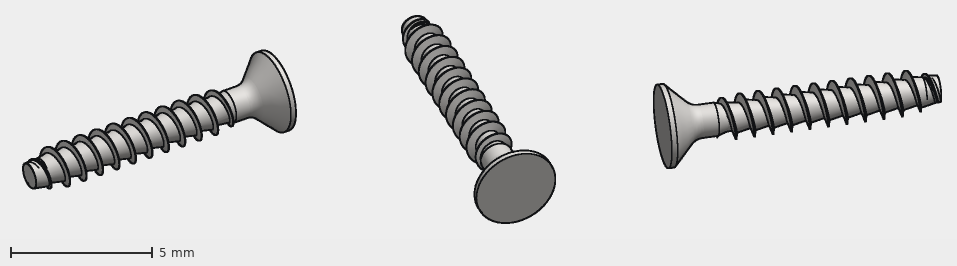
import cadquery as cq
import math


length = 10.0
head_radius = 1.5
rim_height = 0.21
cone_angle = math.radians(45)
shank_radius = 0.6
neck_radius = 0.6
thread_start = 1.92

pitch = 0.67
core_radius = 0.485
tip_radius = 0.462
tip_taper_depth = 9.4
ridge_radius = 0.58
foot_sink = 0.003
turn_gap = 0.003
collar_length = 0.35

thread_radius = 0.8
crest_width = 0.03
root_width = 0.2
crest_depth = 2.79
run_in_depth = 1.25
run_in_radius = 0.53
run_in_end = 2.55
run_out_depth = 9.0
ridge_fade_depth = 9.3
ridge_fade_crest = 0.69
fade_end = 9.97
fade_crest_rise = 0.005

samples_per_turn = 24
clearance = 0.5


def cylinder_about_axis(start_depth, end_depth, radius):
    """Cylinder about Y between two depths."""
    plane = cq.Workplane("XZ", origin=(0, -start_depth, 0))
    return plane.circle(radius).extrude(end_depth - start_depth)


def make_head_and_shank():
    collar_end = thread_start + collar_length
    cone_end = rim_height + (head_radius - shank_radius) / math.tan(cone_angle)
    tangent = neck_radius * math.tan(cone_angle / 2)
    neck_start_radius = shank_radius + tangent * math.sin(cone_angle)
    neck_start_depth = cone_end - tangent * math.cos(cone_angle)
    neck_end_depth = cone_end + tangent
    neck_centre_radius = shank_radius + neck_radius
    neck_mid_radius = neck_centre_radius - neck_radius * math.cos(cone_angle / 2)
    neck_mid_depth = neck_end_depth - neck_radius * math.sin(cone_angle / 2)
    return (
        cq.Workplane("XY")
        .lineTo(head_radius, 0)
        .lineTo(head_radius, -rim_height)
        .lineTo(neck_start_radius, -neck_start_depth)
        .threePointArc((neck_mid_radius, -neck_mid_depth), (shank_radius, -neck_end_depth))
        .lineTo(shank_radius, -thread_start)
        .lineTo(core_radius, -collar_end)
        .lineTo(0, -collar_end)
        .close()
        .revolve(360, (0, 0, 0), (0, 1, 0))
    )


def make_core():
    return (
        cq.Workplane("XY", origin=(0, -thread_start, 0))
        .lineTo(core_radius, 0)
        .lineTo(core_radius, thread_start - tip_taper_depth)
        .lineTo(tip_radius, thread_start - length)
        .lineTo(0, thread_start - length)
        .close()
        .revolve(360, (0, 0, 0), (0, 1, 0))
    )


def thread_profile(crest, ridge, core):
    """(radius, axial offset) corners of thread and ridge for given crest, ridge and core radii."""
    flank_slope = (root_width - crest_width) / 2 / (thread_radius - core_radius)
    half_crest = crest_width / 2
    foot = core - foot_sink
    half_root = half_crest + flank_slope * (thread_radius - core_radius + foot_sink)
    return [
        (foot, -half_crest - flank_slope * (crest - foot)),
        (crest, -half_crest),
        (crest, half_crest),
        (ridge, half_crest + flank_slope * (crest - ridge)),
        (foot, pitch - half_root - turn_gap),
    ]


def helix_point(corner, depth):
    """Point of a profile corner on the right-hand helix."""
    radius, offset = corner
    angle = 2 * math.pi * (crest_depth - depth) / pitch
    return cq.Vector(radius * math.cos(angle), -depth - offset, -radius * math.sin(angle))


def helix_edge(start_depth, start_corner, end_depth, end_corner):
    """Helical curve along which a corner moves evenly from its start to its end position."""
    steps = math.ceil((end_depth - start_depth) / pitch * samples_per_turn)
    points = []
    for step in range(steps + 1):
        share = step / steps
        depth = start_depth + share * (end_depth - start_depth)
        radius = start_corner[0] + share * (end_corner[0] - start_corner[0])
        offset = start_corner[1] + share * (end_corner[1] - start_corner[1])
        points.append(helix_point((radius, offset), depth))
    return cq.Edge.makeSpline(points)


def make_thread():
    """Solid swept along the helix through a few (depth, profile) stations."""
    full_profile = thread_profile(thread_radius, ridge_radius, core_radius)
    stations = [
        (run_in_depth, thread_profile(run_in_radius, core_radius, core_radius)),
        (run_in_end, full_profile),
        (run_out_depth, full_profile),
        (ridge_fade_depth, thread_profile(ridge_fade_crest, ridge_radius, core_radius)),
        (fade_end, thread_profile(tip_radius + fade_crest_rise, tip_radius, tip_radius)),
    ]
    faces = []
    for (start_depth, start_profile), (end_depth, end_profile) in zip(stations, stations[1:]):
        edges = []
        for start_corner, end_corner in zip(start_profile, end_profile):
            edges.append(helix_edge(start_depth, start_corner, end_depth, end_corner))
        for index, edge in enumerate(edges):
            faces.append(cq.Face.makeRuledSurface(edges[index - 1], edge))
    for depth, profile in (stations[0], stations[-1]):
        corners = [helix_point(corner, depth) for corner in profile]
        faces.append(cq.Face.makeFromWires(cq.Wire.makePolygon(corners, close=True)))
    body = cq.Solid.makeSolid(cq.Shell.makeShell(faces))
    return cq.Workplane("XY").add(body.fix())


trim = cylinder_about_axis(thread_start, length, thread_radius + clearance)
thread = make_thread().intersect(trim)
result = make_head_and_shank().union(make_core()).union(thread)